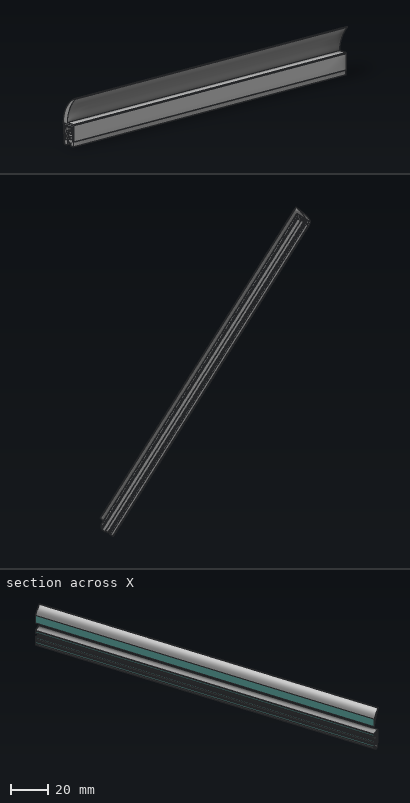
import cadquery as cq


length = 200.0
width = 9.2
height = 27.2

flap_root_z = 12.2
flap_outer_mid = (3.2, 22.2)
flap_inner_mid = (5.5, 21.2)
flap_inner_x = 3.2
tip_bevel = 0.5

channel_top = 12.5
ceiling = 10.2
left_wall_inner = 2.5
right_wall_outer = 8.5
right_wall_inner = 6.5
corner_bevel = 0.5

foot_lean = 0.8
foot_bevel = 0.5
pad_x = 3.2
tooth_top = 7.8
tooth_bottom = 5.2
pad_slope = 0.8

foot_right = 8.0
foot_left = 6.0
step_z = 2.8

lip_x = 4.2
lip_tip_x = 3.8
lower_lip_bottom = 1.8
lower_lip_top = 3.5
lower_lip_peak = 4.5
upper_lip_bottom = 5.5
upper_lip_top = 6.5
upper_lip_peak = 7.8
lip_thickness = 0.8

carrier_thickness = 0.9
carrier_top = 11.8
carrier_bottom = 2.8
carrier_left = 1.0
carrier_right = 8.1
carrier_lean = 0.5


def extrude_profile(profile):
    """Extrude a closed XZ outline along the full length, centred on Y = 0."""
    return profile.close().extrude(length / 2, both=True)


def make_carrier():
    """Inverted channel whose left leg leans with the outer wall of the seal."""
    inner_top = carrier_top - carrier_thickness
    leg_left = carrier_left + carrier_lean
    profile = cq.Workplane("XZ").polyline([
        (leg_left, carrier_bottom),
        (carrier_left, carrier_top),
        (carrier_right, carrier_top),
        (carrier_right, carrier_bottom),
        (carrier_right - carrier_thickness, carrier_bottom),
        (carrier_right - carrier_thickness, inner_top),
        (carrier_left + carrier_thickness, inner_top),
        (leg_left + carrier_thickness, carrier_bottom),
    ])
    return extrude_profile(profile)


def make_seal_blank():
    """Flap, channel walls and feet, before the lips and the carrier recess."""
    flap_and_right_wall = (
        cq.Workplane("XZ")
        .moveTo(0, flap_root_z)
        .threePointArc(flap_outer_mid, (width - tip_bevel, height))
        .lineTo(width, height)
        .lineTo(width, height - tip_bevel)
        .threePointArc(flap_inner_mid, (flap_inner_x, channel_top))
        .lineTo(right_wall_outer - corner_bevel, channel_top)
        .lineTo(right_wall_outer, channel_top - corner_bevel)
        .lineTo(right_wall_outer, step_z)
        .lineTo(foot_right, step_z)
        .lineTo(foot_right, 0)
        .lineTo(foot_left, 0)
        .lineTo(foot_left, upper_lip_top)
        .lineTo(right_wall_inner, upper_lip_top)
    )
    profile = (
        flap_and_right_wall
        .lineTo(right_wall_inner, ceiling)
        .lineTo(left_wall_inner, ceiling)
        .lineTo(left_wall_inner, tooth_top)
        .lineTo(pad_x, tooth_top - pad_slope)
        .lineTo(pad_x, tooth_bottom + pad_slope)
        .lineTo(left_wall_inner, tooth_bottom)
        .lineTo(pad_x, tooth_bottom - pad_slope)
        .lineTo(pad_x, foot_bevel)
        .lineTo(pad_x - foot_bevel, 0)
        .lineTo(foot_lean + foot_bevel, 0)
        .lineTo(foot_lean, foot_bevel)
    )
    return extrude_profile(profile)


def make_lip(bottom, top, peak):
    """Lip reaching left from the right wall, with its free end turned upward."""
    profile = cq.Workplane("XZ").polyline([
        (right_wall_inner, bottom),
        (lip_x, bottom),
        (lip_tip_x, peak),
        (lip_tip_x + lip_thickness, peak),
        (lip_x + lip_thickness, top),
        (right_wall_inner, top),
    ])
    return extrude_profile(profile)


carrier = make_carrier()
lower_lip = make_lip(lower_lip_bottom, lower_lip_top, lower_lip_peak)
upper_lip = make_lip(upper_lip_bottom, upper_lip_top, upper_lip_peak)
seal = make_seal_blank().union(lower_lip).union(upper_lip).cut(carrier)

result = cq.Compound.makeCompound([seal.val(), carrier.val()])